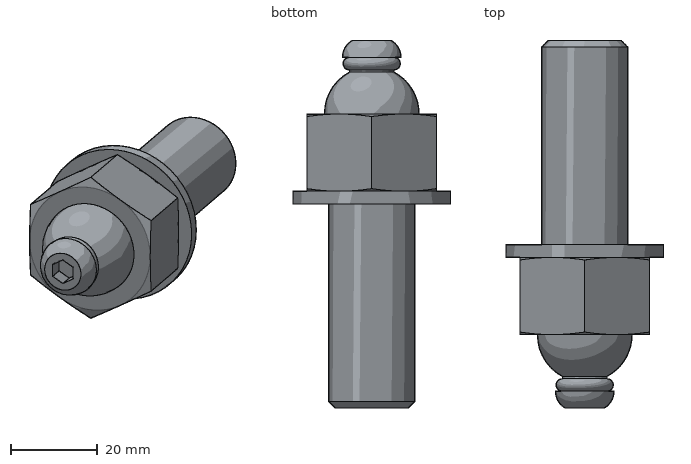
import cadquery as cq
import math

total_length = 85.0

cap_length = 3.9
cap_radius = 6.8
cap_face_radius = 4.5
socket_across_flats = 5.0
socket_depth = 4.0

ring_section_radius = 1.45
ring_outer_radius = 6.6
neck_radius = ring_outer_radius - ring_section_radius

ball_radius = 11.0
hex_start = 17.0

hex_across_flats = 30.0
hex_length = 17.85
hex_chamfer_height = 0.6
washer_diameter = 36.5
washer_thickness = 3.0
shank_diameter = 20.0
shank_chamfer = 1.5

hex_end = hex_start + hex_length
washer_end = hex_end + washer_thickness


def across_corners(across_flats):
    return across_flats / math.cos(math.pi / 6)


def plane_at(y):
    """Plane across the axis at position y, with its normal along +Y."""
    return cq.Plane(origin=(0, y, 0), xDir=(1, 0, 0), normal=(0, 1, 0))


def cylinder(start, end, diameter):
    return cq.Workplane(plane_at(start)).circle(diameter / 2).extrude(end - start)


def hexagon(start, length, across_flats):
    """Hexagonal prism with two corners on the Z axis."""
    prism = cq.Workplane(plane_at(start)).polygon(6, across_corners(across_flats)).extrude(length)
    return prism.rotate((0, 0, 0), (0, 1, 0), 30)


def turned(profile):
    return profile.close().revolve(360, (0, 0, 0), (0, 1, 0))


def tip_cap():
    inset = cap_radius - cap_face_radius
    nose_radius = (inset**2 + cap_length**2) / (2 * inset)
    half_angle = math.asin(cap_length / nose_radius) / 2
    arc_middle = (
        cap_radius - nose_radius * (1 - math.cos(half_angle)),
        cap_length - nose_radius * math.sin(half_angle),
    )
    return turned(
        cq.Workplane("XY")
        .moveTo(0, cap_length)
        .lineTo(cap_radius, cap_length)
        .threePointArc(arc_middle, (cap_face_radius, 0))
        .lineTo(0, 0)
    )


def sealing_ring():
    ring_middle = cap_length + ring_section_radius
    ring_end = cap_length + 2 * ring_section_radius
    return turned(
        cq.Workplane("XY")
        .moveTo(0, cap_length)
        .lineTo(neck_radius, cap_length)
        .threePointArc((ring_outer_radius, ring_middle), (neck_radius, ring_end))
        .lineTo(0, ring_end)
    )


def half_ball():
    middle = ball_radius * math.sqrt(0.5)
    return turned(
        cq.Workplane("XY")
        .moveTo(0, hex_start)
        .lineTo(ball_radius, hex_start)
        .threePointArc((middle, hex_start - middle), (0, hex_start - ball_radius))
    )


def chamfered_hexagon():
    face_radius = hex_across_flats / 2
    corner_radius = across_corners(hex_across_flats) / 2
    slope = hex_chamfer_height / (corner_radius - face_radius)
    trim_radius = washer_diameter / 2
    trim_height = slope * (trim_radius - face_radius)
    envelope = turned(
        cq.Workplane("XY")
        .moveTo(0, hex_start)
        .lineTo(face_radius, hex_start)
        .lineTo(trim_radius, hex_start + trim_height)
        .lineTo(trim_radius, hex_end - trim_height)
        .lineTo(face_radius, hex_end)
        .lineTo(0, hex_end)
    )
    return hexagon(hex_start, hex_length, hex_across_flats).intersect(envelope)


neck = cylinder(cap_length, hex_start, 2 * neck_radius)
washer = cylinder(hex_end, washer_end, washer_diameter)
shank = cylinder(hex_end, total_length, shank_diameter).faces(">Y").chamfer(shank_chamfer)
socket = hexagon(0, socket_depth, socket_across_flats)

result = shank
for piece in (washer, chamfered_hexagon(), half_ball(), neck, sealing_ring(), tip_cap()):
    result = result.union(piece)
result = result.cut(socket)